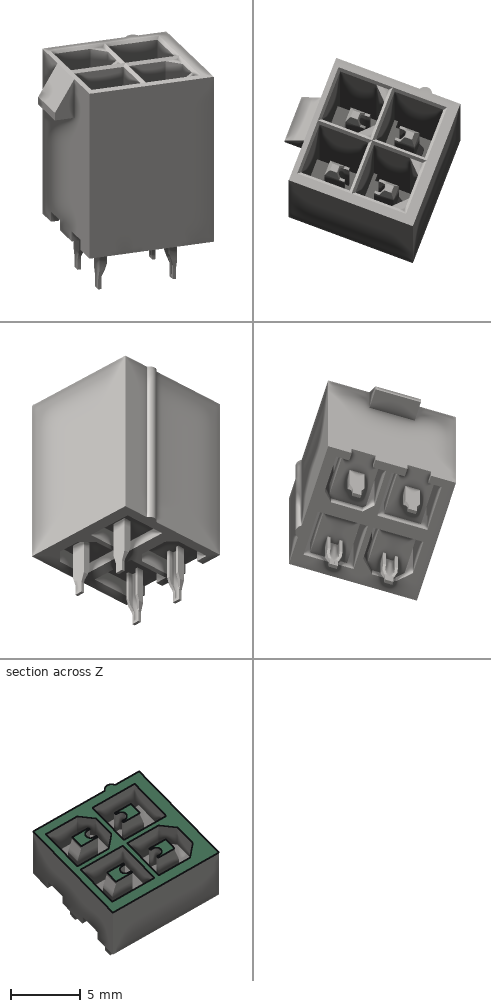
import cadquery as cq

body_x = 9.68
body_y = 9.6
body_z = 12.8

pitch = 4.2
grid_x = -0.05
grid_y = -0.2
cell_size = 3.78
mouth_chamfer = (pitch - cell_size) / 2
corner_leg = 0.98

floor_bottom = 0.78
floor_top = 2.77
floor_width = 2.79
ledge = 0.28
notch_width = 1.81

rib_width = 0.95
rib_depth = 0.31
rib_y = 2.15

latch_width = 3.42
latch_depth = 1.5
latch_height = 3.0
latch_lip = 0.59

terminal_width = 1.12
contact_top = 8.96
contact_inner = 0.95
point_inset = 0.3
point_height = 0.82
flange = 0.2
contact_channel_depth = 0.62

tail_offset = 0.35
jog_height = 1.14
jog_clearance = 0.49
tail_depth = 0.59
tail_length = 3.5
tip_thickness = 0.25
tip_width = 0.64
tail_flange = 0.21
tail_web = 0.18
narrowing_start = -1.95
narrowing_end = -2.69
thinning_start = -1.47
thinning_end = -2.45

outer_y = terminal_width / 2
tail_outer = outer_y + tail_offset
tail_inner = tail_outer - tail_depth
jog_bottom = floor_top + jog_clearance
jog_top = jog_bottom + jog_height
cavity_top = body_z - mouth_chamfer

columns = (-1, 1)
rows = (-1, 1)


def cell_centre(column, row):
    return grid_x + column * pitch / 2, grid_y + row * pitch / 2


def block(x_size, y_range, z_range):
    """Box centred on X = 0 between two Y and two Z values."""
    y_size = y_range[1] - y_range[0]
    z_size = z_range[1] - z_range[0]
    box = cq.Workplane("XY").box(x_size, y_size, z_size, centered=(True, False, False))
    return box.translate((0, y_range[0], z_range[0]))


def place(shape, column, row):
    """Put a shape drawn with +Y pointing outwards into its cell."""
    if row < 0:
        shape = shape.mirror("XZ")
    x, y = cell_centre(column, row)
    return shape.translate((x, y, 0))


def guide_rib():
    wall_x = -body_x / 2
    return (
        cq.Workplane("XY")
        .moveTo(wall_x, rib_y - rib_width / 2)
        .threePointArc((wall_x - rib_depth, rib_y), (wall_x, rib_y + rib_width / 2))
        .close()
        .extrude(body_z)
    )


def latch():
    wall_y = -body_y / 2
    tip_y = wall_y - latch_depth
    bottom_z = body_z - latch_height
    return (
        cq.Workplane("YZ")
        .polyline([(wall_y, body_z), (tip_y, bottom_z + latch_lip), (tip_y, bottom_z), (wall_y, bottom_z)])
        .close()
        .extrude(latch_width / 2, both=True)
    )


def cell_mouth():
    return (
        cq.Workplane("XY")
        .workplane(offset=body_z)
        .rect(pitch, pitch)
        .workplane(offset=-mouth_chamfer)
        .rect(cell_size, cell_size)
        .loft(ruled=True)
    )


def cell_opening():
    """Stepped well through the housing with a floor bridging its middle."""
    half = cell_size / 2
    upper = block(cell_size, (-half, half), (floor_top, cavity_top))
    lower = block(cell_size, (ledge - half, half), (0, floor_top))
    floor = block(floor_width, (-half, half), (floor_bottom, floor_top))
    return upper.union(lower).cut(floor)


def corner_fillers(column, row):
    """Triangular posts in the two +Y corners of a keyed cell."""
    x, y = cell_centre(column, row)
    wall_y = y + cell_size / 2
    fillers = cq.Workplane("XY")
    for side in (-1, 1):
        wall_x = x + side * cell_size / 2
        post = (
            cq.Workplane("XY")
            .polyline([(wall_x, wall_y), (wall_x - side * corner_leg, wall_y), (wall_x, wall_y - corner_leg)])
            .close()
            .extrude(cavity_top)
        )
        fillers = fillers.union(post)
    return fillers


def wall_notch(column):
    """Notch through the bottom of the -Y wall in front of a terminal."""
    x, y = cell_centre(column, -1)
    cell_wall_y = y - cell_size / 2
    return block(notch_width, (-body_y / 2, cell_wall_y), (0, floor_bottom)).translate((x, 0, 0))


def housing():
    body = block(body_x, (-body_y / 2, body_y / 2), (0, body_z))
    body = body.union(guide_rib()).union(latch())
    for column in columns:
        for row in rows:
            body = body.cut(place(cell_mouth(), column, row))
            body = body.cut(place(cell_opening(), column, row))
            if column == row:
                body = body.union(corner_fillers(column, row))
        body = body.cut(wall_notch(column))
    return body


def contact():
    """Channel-shaped blade with a pyramid point, open towards the middle wall."""
    shoulder = contact_top - point_height
    point_size = terminal_width - 2 * point_inset
    point = (
        cq.Workplane("XY")
        .workplane(offset=shoulder)
        .rect(terminal_width, terminal_width)
        .workplane(offset=point_height)
        .rect(point_size, point_size)
        .loft(ruled=True)
    )
    blade = block(terminal_width, (-contact_inner, outer_y), (floor_top, shoulder))

    radius = terminal_width / 2 - flange
    channel_end = contact_channel_depth - contact_inner
    channel = (
        cq.Workplane("XY")
        .workplane(offset=floor_top)
        .moveTo(-radius, -contact_inner)
        .lineTo(-radius, channel_end - radius)
        .threePointArc((0, channel_end), (radius, channel_end - radius))
        .lineTo(radius, -contact_inner)
        .close()
        .extrude(contact_top - floor_top)
    )
    return blade.union(point).cut(channel)


def tail_outline(inset, top, bottom):
    """Front outline of the tail, narrowed by an inset on each side."""
    wide = terminal_width / 2 - inset
    narrow = tip_width / 2 - inset
    right = [(wide, top), (wide, narrowing_start), (narrow, narrowing_end), (narrow, bottom)]
    left = [(-x, z) for x, z in reversed(right)]
    return cq.Workplane("XZ", origin=(0, tail_outer, 0)).polyline(right + left).close()


def tail():
    """Channel-shaped tail that jogs outwards and thins to a flat tip."""
    side = (
        cq.Workplane("YZ")
        .polyline([
            (tail_inner, jog_top),
            (outer_y, jog_top),
            (tail_outer, jog_bottom),
            (tail_outer, -tail_length),
            (tail_outer - tip_thickness, -tail_length),
            (tail_outer - tip_thickness, thinning_end),
            (tail_inner, thinning_start),
        ])
        .close()
        .extrude(terminal_width / 2, both=True)
    )
    solid = side.intersect(tail_outline(0, jog_top, -tail_length).extrude(tail_depth))
    channel = tail_outline(tail_flange, floor_bottom, tail_flange - tail_length).extrude(tail_depth)
    return solid.cut(channel.translate((0, -tail_web, 0)))


terminal = contact().union(tail())
result = housing()
for column in columns:
    for row in rows:
        result = result.union(place(terminal, column, row))